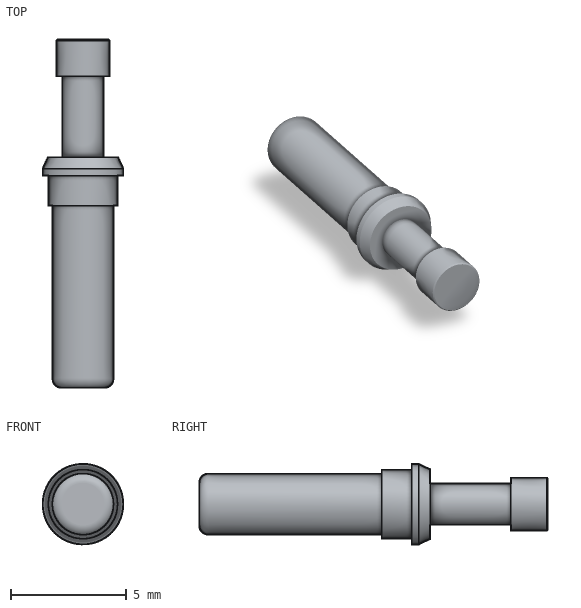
import cadquery as cq
import math


body_diameter = 2.65
collar_diameter = 3.0
rim_diameter = 3.5
neck_diameter = 1.8
head_diameter = 2.3

total_length = 15.1
collar_length = 1.3
rim_length = 0.3
taper_length = 0.5
neck_length = 3.5
head_length = 1.6

taper_angle = 25
flange_top_diameter = rim_diameter - 2 * taper_length * math.tan(math.radians(taper_angle))

body_end_radius = 0.4
head_edge_chamfer = 0.05

rim_top = rim_length
flange_top = rim_top + taper_length
neck_top = flange_top + neck_length
head_top = neck_top + head_length
collar_bottom = -collar_length
body_bottom = head_top - total_length


def make_cylinder(diameter, y_start, y_end):
    """Solid cylinder on the Y axis between two positions."""
    start_plane = cq.Plane(origin=(0, y_start, 0), xDir=(1, 0, 0), normal=(0, 1, 0))
    return cq.Workplane(start_plane).circle(diameter / 2).extrude(y_end - y_start)


def make_body():
    """Long plain shank with a rounded free end."""
    body = make_cylinder(body_diameter, body_bottom, collar_bottom)
    return body.faces("<Y").edges().fillet(body_end_radius)


def make_flange():
    """Stop flange: a cylindrical rim that tapers toward the neck."""
    profile = (
        cq.Workplane("XY")
        .lineTo(rim_diameter / 2, 0)
        .lineTo(rim_diameter / 2, rim_top)
        .lineTo(flange_top_diameter / 2, flange_top)
        .lineTo(0, flange_top)
        .close()
    )
    return profile.revolve(360, (0, 0, 0), (0, 1, 0))


def make_head():
    """Cylindrical head with a small chamfer on its free end."""
    head = make_cylinder(head_diameter, neck_top, head_top)
    return head.faces(">Y").edges().chamfer(head_edge_chamfer)


collar = make_cylinder(collar_diameter, collar_bottom, 0)
neck = make_cylinder(neck_diameter, flange_top, neck_top)

result = make_body().union(collar).union(make_flange()).union(neck).union(make_head())